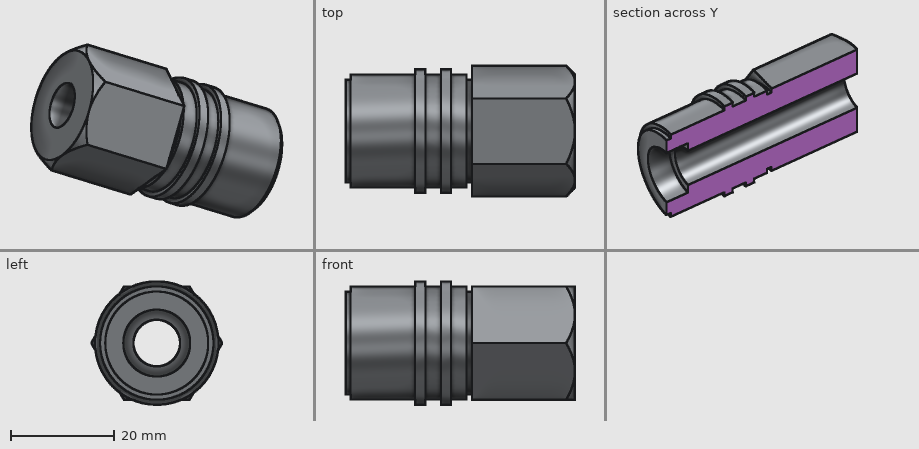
import cadquery as cq
import math

nose_length = 1.0
barrel_end = 23.5
neck_length = 1.0
hex_length = 20.0
ring_starts = (13.5, 18.5)
ring_width = 2.0

nose_diameter = 20.0
barrel_diameter = 22.0
ring_diameter = 24.0
neck_diameter = 20.0
socket_diameter = 13.0
bore_diameter = 9.0

socket_depth = 5.0

hex_across_flats = 22.0
hex_across_corners = hex_across_flats / math.cos(math.radians(30))
hex_chamfer_angle = 45.0

hex_start = barrel_end + neck_length
total_length = hex_start + hex_length


def cylinder(start, end, diameter):
    """Solid cylinder along X between two positions."""
    return cq.Workplane("YZ", origin=(start, 0, 0)).circle(diameter / 2).extrude(end - start)


def chamfered_hexagon():
    """Hexagonal body whose corners are turned back to a cone at the far end."""
    hexagon = (
        cq.Workplane("YZ", origin=(hex_start, 0, 0))
        .polygon(6, hex_across_corners)
        .extrude(hex_length)
    )
    corner_radius = hex_across_corners / 2
    end_radius = hex_across_flats / 2
    cone_length = (corner_radius - end_radius) / math.tan(math.radians(hex_chamfer_angle))
    turned_envelope = (
        cq.Workplane("XY")
        .moveTo(hex_start, 0)
        .lineTo(hex_start, corner_radius)
        .lineTo(total_length - cone_length, corner_radius)
        .lineTo(total_length, end_radius)
        .lineTo(total_length, 0)
        .close()
        .revolve(360, (0, 0, 0), (1, 0, 0))
    )
    return hexagon.intersect(turned_envelope)


body = cylinder(0, nose_length, nose_diameter)
body = body.union(cylinder(nose_length, barrel_end, barrel_diameter))
body = body.union(cylinder(barrel_end, hex_start, neck_diameter))

for ring_start in ring_starts:
    body = body.union(cylinder(ring_start, ring_start + ring_width, ring_diameter))

body = body.union(chamfered_hexagon())

body = body.cut(cylinder(0, total_length, bore_diameter))
body = body.cut(cylinder(0, socket_depth, socket_diameter))

result = body